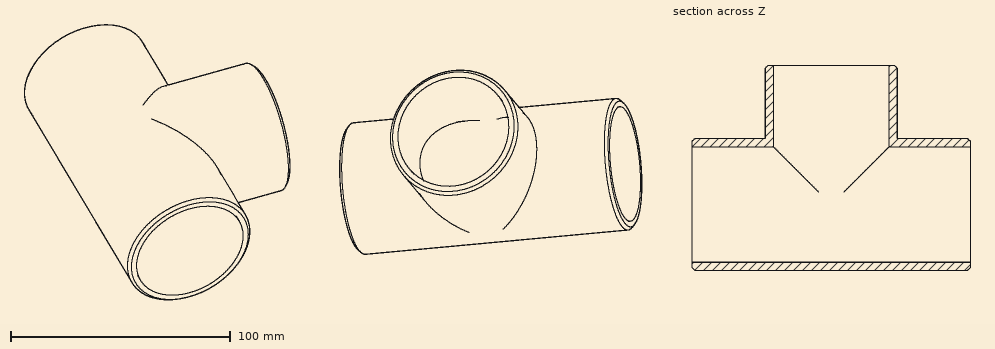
import cadquery as cq

run_length = 127.0
branch_reach = run_length / 2
outer_diameter = 60.3
bore_diameter = 52.5
bevel = 1.4


def cylinder_between(plane, diameter, start, end):
    """Solid cylinder along the plane normal, from start to end."""
    return cq.Workplane(plane).workplane(offset=start).circle(diameter / 2).extrude(end - start)


run = cylinder_between("YZ", outer_diameter, -run_length / 2, run_length / 2)
run = run.faces("<X or >X").edges().chamfer(bevel)
run_bore = cylinder_between("YZ", bore_diameter, -run_length / 2, run_length / 2)

branch = cylinder_between("ZX", outer_diameter, 0, branch_reach)
branch = branch.faces(">Y").edges().chamfer(bevel)
branch_bore = cylinder_between("ZX", bore_diameter, 0, branch_reach)

result = run.union(branch).cut(run_bore).cut(branch_bore)